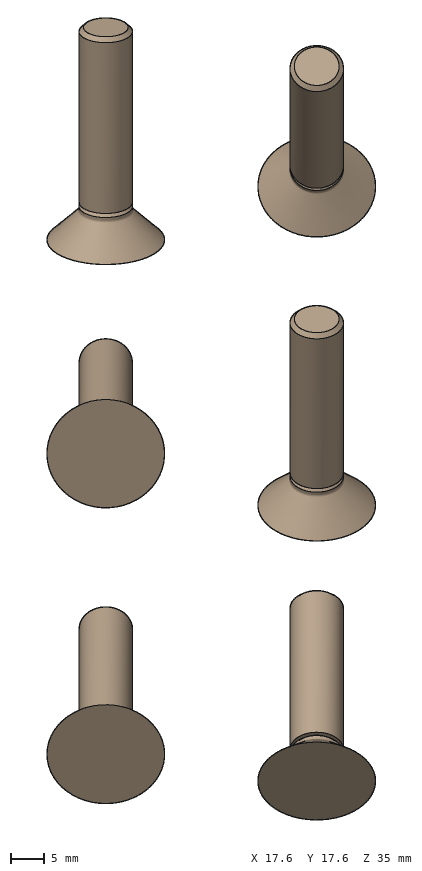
import cadquery as cq

total_height = 35.0
head_radius = 17.6 / 2
shank_radius = 8.0 / 2

chamfer = 0.65
neck_radius = shank_radius - chamfer
shank_start = 6.2
collar_top = shank_start - chamfer

cone_top = head_radius - shank_radius
blend_radius = 0.3

profile = (
    cq.Workplane("XZ")
    .moveTo(0, 0)
    .lineTo(head_radius, 0)
    .lineTo(shank_radius, cone_top)
    .lineTo(shank_radius, collar_top)
    .lineTo(neck_radius, shank_start)
    .lineTo(shank_radius, shank_start)
    .lineTo(shank_radius, total_height - chamfer)
    .lineTo(neck_radius, total_height)
    .lineTo(0, total_height)
    .close()
)
screw = profile.revolve(360, (0, 0), (0, 1))

corner_band = cq.selectors.BoxSelector(
    (-head_radius, -head_radius, cone_top - blend_radius),
    (head_radius, head_radius, cone_top + blend_radius),
)
result = screw.edges("%CIRCLE").edges(corner_band).fillet(blend_radius)